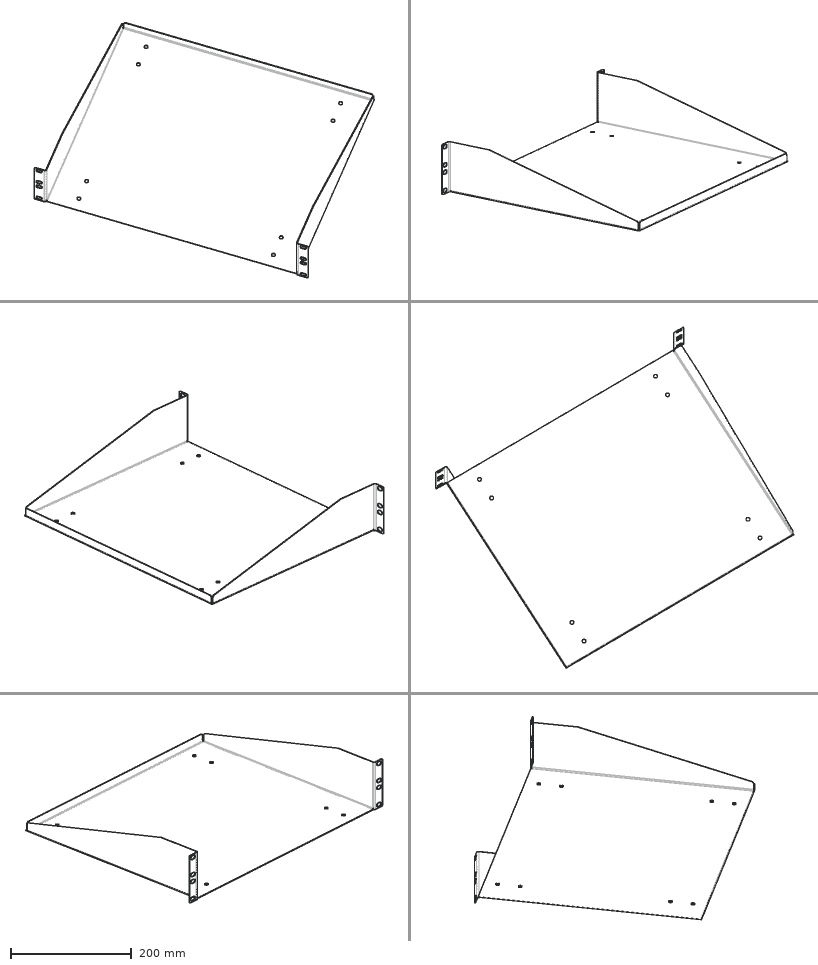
import cadquery as cq

width = 482.8
depth = 381.0
height = 88.0

sheet = 1.75
floor_bend_outer = 2.5
floor_bend_inner = floor_bend_outer - sheet
flange_bend_outer = 3.6
flange_bend_inner = flange_bend_outer - sheet
flange_corner_radius = 2.5
wall_corner_radius = 4.0

tray_width = 443.5
floor_setback = 2.0
rear_wall_height = 16.5
corner_notch = 2.5
flat_top_length = 81.0

slot_length = 10.5
slot_height = 6.8
slot_inset = 8.5
slot_offsets = (-38.0, -6.5, 6.5, 38.0)

hole_diameter = 6.5
hole_spacing = 342.8
hole_positions = (25.0, 63.0, 317.5, 356.0)

half_width = width / 2
half_tray = tray_width / 2
half_inside = half_tray - sheet
flange_start = half_inside + flange_bend_outer


def box(x_min, x_max, y_min, y_max, z_min, z_max):
    """Block given by its limits along each axis."""
    size = (x_max - x_min, y_max - y_min, z_max - z_min)
    return cq.Workplane("XY").box(*size, centered=False).translate((x_min, y_min, z_min))


def folded_block(half, rear, bottom, radius):
    """Block whose bottom side and rear edges are rounded like sheet metal folds."""
    block = box(-half, half, 0, rear, bottom, height)
    return block.faces("<Z").edges("|Y or >Y").fillet(radius)


def make_tray():
    """Floor folded up into two tapering side walls and a low back wall."""
    outside = folded_block(half_tray, depth, 0, floor_bend_outer)
    inside = folded_block(half_inside, depth - sheet, sheet, floor_bend_inner)
    tray = outside.cut(inside)

    for x_corner in (-half_tray, half_tray - corner_notch):
        tray = tray.cut(
            box(x_corner, x_corner + corner_notch, depth - corner_notch, depth, floor_bend_outer, height)
        )
    side_rear = depth - corner_notch
    side_outline = (
        cq.Workplane("YZ")
        .polyline([
            (flange_bend_outer, 0),
            (side_rear, 0),
            (side_rear, rear_wall_height),
            (flat_top_length, height),
            (flange_bend_outer, height),
        ])
        .close()
        .extrude(half_tray, both=True)
        .edges(cq.selectors.NearestToPointSelector((0, side_rear, rear_wall_height)))
        .fillet(wall_corner_radius)
    )
    half_back = half_tray - corner_notch
    back_outline = (
        box(-half_back, half_back, side_rear, depth, 0, rear_wall_height)
        .edges("|Y and >Z")
        .fillet(wall_corner_radius)
    )
    folds = box(-half_tray, half_tray, flange_bend_outer, depth, 0, floor_bend_outer)
    walls = tray.intersect(side_outline.union(back_outline).union(folds))

    floor_lip = box(-half_inside, half_inside, floor_setback, flange_bend_outer, 0, sheet)
    return walls.union(floor_lip)


def make_right_flange():
    """Rack flange with the bend that joins it to the side wall."""
    plate = box(flange_start, half_width, 0, sheet, 0, height)
    plate = plate.edges("|Y and >X").fillet(flange_corner_radius)
    bend = (
        cq.Workplane("XY")
        .moveTo(half_inside, flange_bend_outer)
        .radiusArc((flange_start, 0), -flange_bend_outer)
        .lineTo(flange_start, sheet)
        .radiusArc((half_tray, flange_bend_outer), flange_bend_inner)
        .close()
        .extrude(height)
    )
    slots = (
        cq.Workplane("XZ")
        .pushPoints([(half_width - slot_inset, height / 2 + offset) for offset in slot_offsets])
        .slot2D(slot_length, slot_height)
        .extrude(-sheet)
    )
    return plate.cut(slots).union(bend)


def make_floor_holes():
    """Through holes in two rows along the floor."""
    points = [(side * hole_spacing / 2, y) for side in (-1, 1) for y in hole_positions]
    return cq.Workplane("XY").pushPoints(points).circle(hole_diameter / 2).extrude(sheet)


right_flange = make_right_flange()
left_flange = right_flange.mirror("YZ")
result = make_tray().union(right_flange).union(left_flange).cut(make_floor_holes())